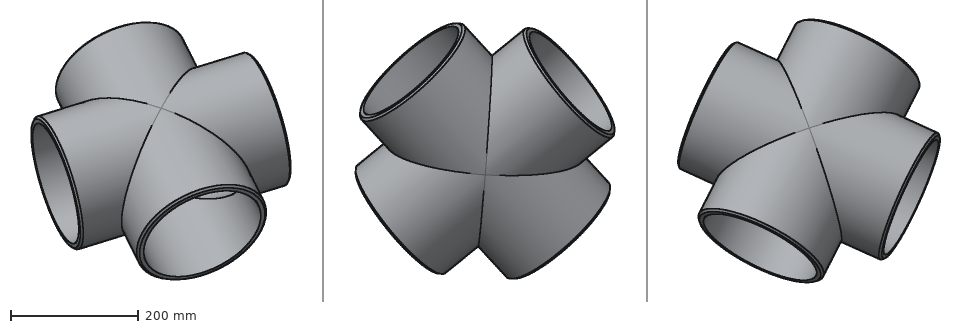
import cadquery as cq

length = 355.5
outer_diameter = 219.0
bore_diameter = 197.7

bevel_depth = 3.5
bevel_length = 3.5


def cylinder_along(plane, diameter):
    """Solid cylinder through the centre, normal to the given plane."""
    return cq.Workplane(plane).circle(diameter / 2).extrude(length / 2, both=True)


def beveled_pipe(plane, end_selector):
    """Solid pipe body with both outer end edges beveled."""
    body = cylinder_along(plane, outer_diameter)
    return body.faces(end_selector).edges().chamfer(bevel_depth, bevel_length)


cross = beveled_pipe("YZ", "|X").union(beveled_pipe("XZ", "|Y"))
bores = cylinder_along("YZ", bore_diameter).union(cylinder_along("XZ", bore_diameter))

result = cross.cut(bores)